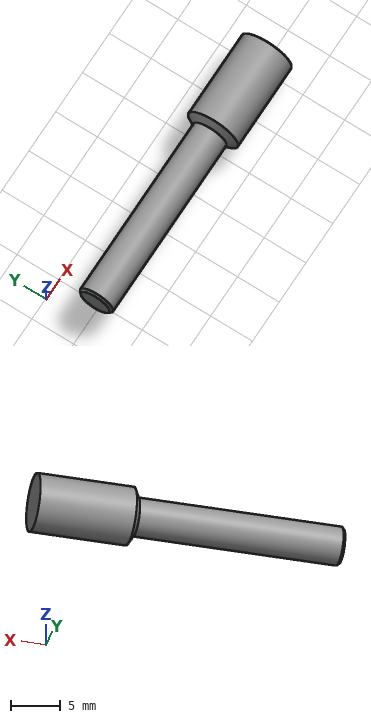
import cadquery as cq
import math

total_length = 32.0
head_diameter = 6.0
shank_diameter = 4.0
head_length = 10.0
shoulder_angle = 30.0
tip_chamfer = 0.25

head_radius = head_diameter / 2
shank_radius = shank_diameter / 2
shoulder_length = (head_radius - shank_radius) * math.tan(math.radians(shoulder_angle))

tip_x = -total_length / 2
end_x = total_length / 2
head_start_x = end_x - head_length
shank_end_x = head_start_x - shoulder_length

half_profile = (
    cq.Workplane("XY")
    .moveTo(tip_x, 0)
    .lineTo(tip_x, shank_radius - tip_chamfer)
    .lineTo(tip_x + tip_chamfer, shank_radius)
    .lineTo(shank_end_x, shank_radius)
    .lineTo(head_start_x, head_radius)
    .lineTo(end_x, head_radius)
    .lineTo(end_x, 0)
    .close()
)

result = half_profile.revolve(360, (0, 0, 0), (1, 0, 0))